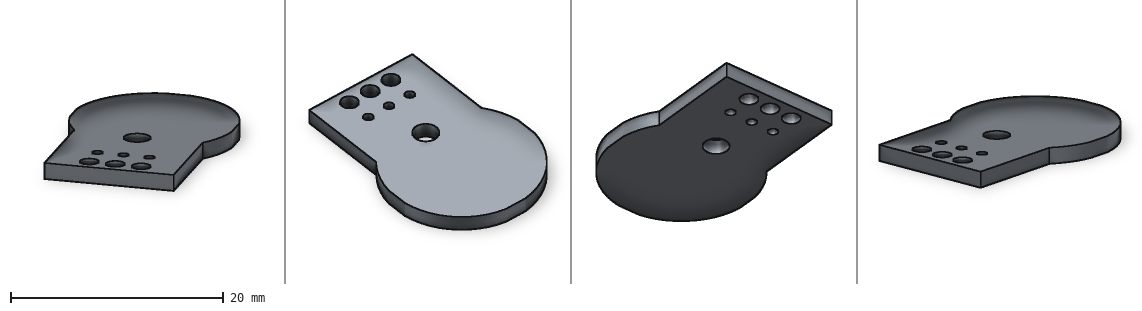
import cadquery as cq

length = 22.9
thickness = 1.6

head_width = 15.9
head_radius = 8.05
head_center_y = length - head_width / 2

tab_width = 12.67
tab_center_x = -0.11

main_hole_diameter = 2.55
main_hole_y = 9.55
large_pin_diameter = 1.79
large_pin_y = 1.58
small_pin_diameter = 1.0
small_pin_y = 4.35
pin_pitch = 2.55
pin_center_x = 0.05
pin_columns = (-1, 0, 1)


def make_head():
    disc = cq.Workplane("XY").center(0, head_center_y).circle(head_radius).extrude(thickness)
    trim = (
        cq.Workplane("XY")
        .center(0, head_center_y)
        .rect(head_width, head_width)
        .extrude(thickness)
    )
    return disc.intersect(trim)


def make_tab():
    """Tab running from the lower edge up into the middle of the head."""
    return (
        cq.Workplane("XY")
        .center(tab_center_x, head_center_y / 2)
        .rect(tab_width, head_center_y)
        .extrude(thickness)
    )


def drill(points, diameter):
    """Through-hole cutters of one diameter at the given points."""
    return cq.Workplane("XY").pushPoints(points).circle(diameter / 2).extrude(thickness)


def pin_row(y):
    return [(pin_center_x + column * pin_pitch, y) for column in pin_columns]


result = (
    make_head()
    .union(make_tab())
    .cut(drill([(tab_center_x, main_hole_y)], main_hole_diameter))
    .cut(drill(pin_row(large_pin_y), large_pin_diameter))
    .cut(drill(pin_row(small_pin_y), small_pin_diameter))
)